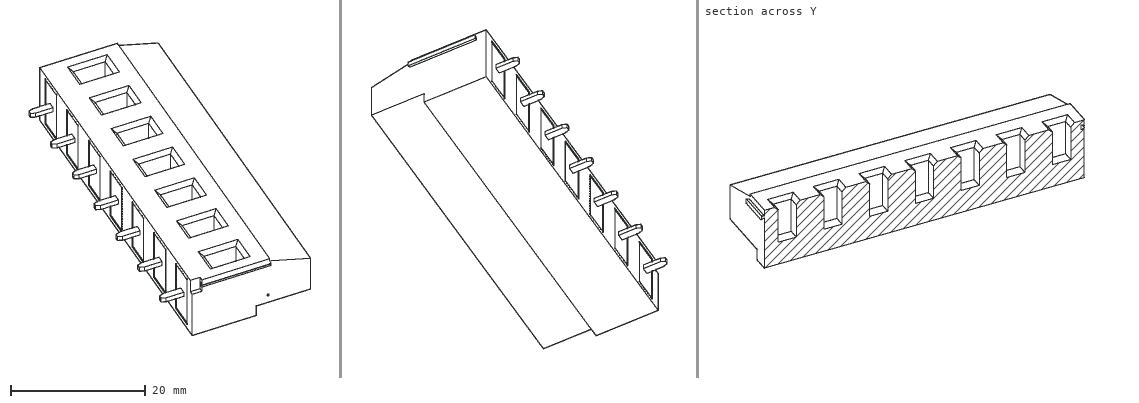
import cadquery as cq


overall_length = 53.95
poles = 7
length = 53.35
pitch = length / poles
depth = 19.5
height = 10.5
rear_height = 8.05
ridge_y = 12.8
ridge_step = 0.45
foot_depth = 10.55
rear_underside_z = 1.9
front_band = 1.6

window_width = 4.25
window_depth = 6.5
window_y = 7.05
window_chamfer = 0.65
window_floor_z = 4.05

recess_width = 4.05
recess_margin = 0.8
recess_depth = 0.15
pin_width = 1.1
pin_thickness = 0.8
pin_length = 3.45
pin_tip_width = 0.55
pin_tip_length = 0.7
pin_z = 5.55

rib_z = 9.3
rib_end_y = 13.0
rib_height = 0.55
rib_outer_width = 0.8
rib_root_width = 0.4
notch_width = 0.65
notch_height = 2.25

nub_radius = 0.15
nub_height = overall_length - length - rib_height
nub_y = 12.5
nub_z = 3.4


def pole_positions():
    return [(pole + 0.5) * pitch for pole in range(poles)]


def make_housing():
    """Extrude the side profile along the row of poles."""
    profile = [
        (0, 0),
        (foot_depth, 0),
        (foot_depth, rear_underside_z),
        (depth, rear_underside_z),
        (depth, rear_height),
        (ridge_y, height - ridge_step),
        (ridge_y, height),
        (0, height),
    ]
    return cq.Workplane("YZ").polyline(profile).close().extrude(length)


def make_window(x):
    """Straight pocket with a chamfered mouth, open at the top face."""
    mouth = (
        cq.Workplane("XY", origin=(x, window_y, height))
        .rect(window_width, window_depth)
        .workplane(offset=-window_chamfer)
        .rect(window_width - 2 * window_chamfer, window_depth - 2 * window_chamfer)
        .loft(ruled=True)
    )
    pocket = (
        cq.Workplane("XY", origin=(x, window_y, window_floor_z))
        .rect(window_width - 2 * window_chamfer, window_depth - 2 * window_chamfer)
        .extrude(height - window_chamfer - window_floor_z)
    )
    return mouth.union(pocket)


def make_recess(x):
    """Shallow rectangular recess in the front face around one pin."""
    return cq.Workplane("XY").box(
        recess_width, recess_depth, height - 2 * recess_margin, centered=(True, False, True)
    ).translate((x, 0, height / 2))


def make_pin(x):
    """Flat pin from the recess floor forward, with a tapered tip."""
    shoulder_y = pin_tip_length - pin_length
    outline = [
        (-pin_width / 2, recess_depth),
        (-pin_width / 2, shoulder_y),
        (-pin_tip_width / 2, -pin_length),
        (pin_tip_width / 2, -pin_length),
        (pin_width / 2, shoulder_y),
        (pin_width / 2, recess_depth),
    ]
    return (
        cq.Workplane("XY", origin=(x, 0, pin_z - pin_thickness / 2))
        .polyline(outline)
        .close()
        .extrude(pin_thickness)
    )


def make_dovetail(root_x):
    """Dovetail bar along Y that widens from its root toward -X."""
    section = [
        (root_x, rib_z - rib_root_width / 2),
        (root_x - rib_height, rib_z - rib_outer_width / 2),
        (root_x - rib_height, rib_z + rib_outer_width / 2),
        (root_x, rib_z + rib_root_width / 2),
    ]
    return (
        cq.Workplane("XZ", origin=(0, front_band, 0))
        .polyline(section)
        .close()
        .extrude(front_band - rib_end_y)
    )


def make_notch():
    """Front top corner of the right end, where a neighbour's rib slides in."""
    return cq.Workplane("XY").box(notch_width, front_band, notch_height, centered=False).translate(
        (length - notch_width, 0, height - notch_height)
    )


def make_nub():
    return cq.Workplane("YZ", origin=(length, nub_y, nub_z)).circle(nub_radius).extrude(nub_height)


result = make_housing()
for pole_x in pole_positions():
    result = result.cut(make_window(pole_x)).cut(make_recess(pole_x)).union(make_pin(pole_x))

result = result.union(make_dovetail(0))
result = result.cut(make_dovetail(length)).cut(make_notch())
result = result.union(make_nub())